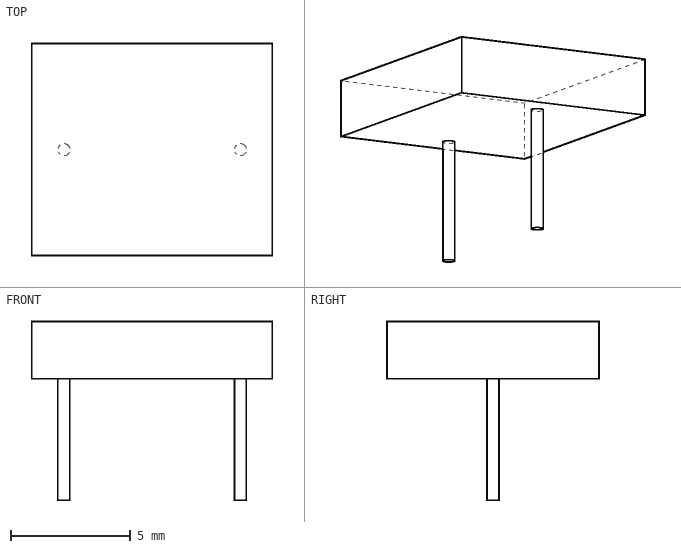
import cadquery as cq

housing_length = 10.1
housing_width = 8.9
housing_height = 2.4

pin_diameter = 0.5
pin_length = 5.1
pin_spacing = 7.4


def make_housing():
    """Plain block resting on the plane Z = 0."""
    return cq.Workplane("XY").box(
        housing_length, housing_width, housing_height, centered=(True, True, False)
    )


def make_pin(x):
    """Straight pin whose top end touches the underside of the housing."""
    return cq.Workplane("XY").center(x, 0).circle(pin_diameter / 2).extrude(-pin_length)


housing = make_housing()
pins = [make_pin(side * pin_spacing / 2) for side in (-1, 1)]

result = cq.Compound.makeCompound([housing.val(), *[pin.val() for pin in pins]])